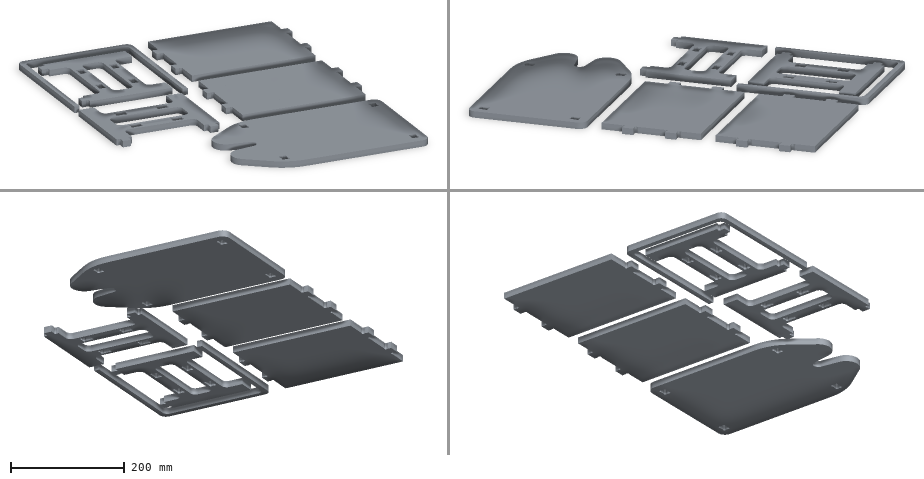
import cadquery as cq
import math

SHEET = 12.0
LAYOUT_WIDTH = 650.0
LAYOUT_TOP = 504.47

RELIEF_RADIUS = 3.0
RELIEF_OFFSET = RELIEF_RADIUS / math.sqrt(2)
PANEL_TAB_WIDTH = 20.0
PANEL_TAB_PITCH = 80.0
LEG_TAB_WIDTH = 16.0

PANEL_WIDTH = 185.0
PANEL_LENGTH = 240.0
PANEL_CENTRE_Y = LAYOUT_TOP - SHEET - PANEL_LENGTH / 2
PANEL_CENTRES_X = (97.5, 310.0)

FRAME_WIDTH = 200.0
LEG_WIDTH = 30.0
LEG_LENGTH = 160.0
LEG_PITCH = FRAME_WIDTH - LEG_WIDTH
CROSSBAR_WIDTH = 24.0
CROSSBAR_PITCH = 64.0
FRAME_FILLET = 10.0
UPRIGHT_FRAME_CENTRE = (130.0, 116.0)
TURNED_FRAME_CENTRE = (340.0, FRAME_WIDTH / 2)

BRACKET_LENGTH = 243.0
BRACKET_WIDTH = 220.0
BRACKET_BAND = 10.0
BRACKET_OUTER_RADIUS = 12.0
BRACKET_INNER_RADIUS = 10.0

PLATE_WIDTH = 220.0
PLATE_LENGTH = 354.0
PLATE_CENTRE_X = LAYOUT_WIDTH - PLATE_WIDTH / 2
PLATE_CORNER_RADIUS = 15.0
PLATE_SIDE_LENGTH = 243.0
SHOULDER_RADIUS = 100.0
LOBE_RADIUS = 25.0
LOBE_OFFSET = 40.0
NOTCH_RADIUS = 10.0
NOTCH_TOP_DEPTH = 288.5
PLATE_SLOT_EDGE = 15.0
PLATE_SLOT_PITCH = PANEL_LENGTH + SHEET


def block(width, length, centre):
    """Full-thickness rectangle centred on the given point."""
    return cq.Workplane("XY").center(*centre).rect(width, length).extrude(SHEET)


def reliefs(centres):
    """Full-thickness relief cylinders at the given points."""
    return cq.Workplane("XY").pushPoints(centres).circle(RELIEF_RADIUS).extrude(SHEET)


def slot(width, length, centre):
    """Rectangular slot with a relief in each corner."""
    x, y = centre
    half_width = width / 2 - RELIEF_OFFSET
    half_length = length / 2 - RELIEF_OFFSET
    corners = [(x + i * half_width, y + j * half_length) for i in (-1, 1) for j in (-1, 1)]
    return block(width, length, centre).union(reliefs(corners))


def add_tab(body, width, root, direction):
    """Tab along Y from the middle of its root edge, relieved at both inner corners."""
    x, y = root
    tab = block(width, SHEET, (x, y + direction * SHEET / 2))
    side = width / 2 + RELIEF_OFFSET
    corners = [(x + i * side, y + direction * RELIEF_OFFSET) for i in (-1, 1)]
    return body.union(tab).cut(reliefs(corners))


def make_panel(centre_x):
    """Rectangular panel with two tabs on each short edge."""
    panel = block(PANEL_WIDTH, PANEL_LENGTH, (centre_x, PANEL_CENTRE_Y))
    for direction in (-1, 1):
        edge_y = PANEL_CENTRE_Y + direction * PANEL_LENGTH / 2
        for side in (-1, 1):
            root = (centre_x + side * PANEL_TAB_PITCH / 2, edge_y)
            panel = add_tab(panel, PANEL_TAB_WIDTH, root, direction)
    return panel


def make_frame():
    """H-shaped frame centred on the origin, with its leg tabs pointing to -Y."""
    window_width = FRAME_WIDTH - 2 * LEG_WIDTH
    window_length = CROSSBAR_PITCH - CROSSBAR_WIDTH
    bay_edge = (CROSSBAR_PITCH + CROSSBAR_WIDTH) / 2
    frame = block(FRAME_WIDTH, LEG_LENGTH, (0, 0))
    frame = frame.cut(block(window_width, window_length, (0, 0)).edges("|Z").fillet(FRAME_FILLET))
    for side in (-1, 1):
        bay = block(window_width, LEG_LENGTH, (0, side * (bay_edge + LEG_LENGTH / 2)))
        frame = frame.cut(bay.edges("|Z").fillet(FRAME_FILLET))
        frame = add_tab(frame, LEG_TAB_WIDTH, (side * LEG_PITCH / 2, -LEG_LENGTH / 2), -1)
    for i in (-1, 1):
        for j in (-1, 1):
            centre = (i * PANEL_TAB_PITCH / 2, j * CROSSBAR_PITCH / 2)
            frame = frame.cut(slot(PANEL_TAB_WIDTH, SHEET, centre))
    return frame


def make_bracket():
    """U-shaped strip, open towards +X, with rounded corners."""
    outer = block(BRACKET_LENGTH, BRACKET_WIDTH, (BRACKET_LENGTH / 2, BRACKET_WIDTH / 2))
    outer = outer.edges("|Z and <X").fillet(BRACKET_OUTER_RADIUS)
    inner_centre = (BRACKET_LENGTH / 2 + BRACKET_BAND, BRACKET_WIDTH / 2)
    inner = block(BRACKET_LENGTH, BRACKET_WIDTH - 2 * BRACKET_BAND, inner_centre)
    inner = inner.edges("|Z and <X").fillet(BRACKET_INNER_RADIUS)
    return outer.cut(inner)


def on_circle(centre, radius, angle):
    """Point on a circle at the given angle."""
    return (centre[0] + radius * math.cos(angle), centre[1] + radius * math.sin(angle))


def plate_outline():
    """Closed plate outline, centred on X = 0 with its top edge at Y = 0.

    The right half is worked out from tangent circles and mirrored.
    """
    shoulder = (PLATE_WIDTH / 2 - SHOULDER_RADIUS, -PLATE_SIDE_LENGTH)
    lobe = (LOBE_OFFSET, LOBE_RADIUS - PLATE_LENGTH)
    notch = (0.0, -NOTCH_TOP_DEPTH - NOTCH_RADIUS)

    flank_x, flank_y = lobe[0] - shoulder[0], lobe[1] - shoulder[1]
    flank_ratio = (SHOULDER_RADIUS - LOBE_RADIUS) / math.hypot(flank_x, flank_y)
    flank_normal = math.atan2(flank_y, flank_x) + math.acos(flank_ratio)

    side_x, side_y = notch[0] - lobe[0], notch[1] - lobe[1]
    side_ratio = (LOBE_RADIUS + NOTCH_RADIUS) / math.hypot(side_x, side_y)
    side_normal = math.atan2(side_y, side_x) + math.acos(side_ratio)

    shoulder_start = on_circle(shoulder, SHOULDER_RADIUS, 0)
    shoulder_middle = on_circle(shoulder, SHOULDER_RADIUS, flank_normal / 2)
    shoulder_end = on_circle(shoulder, SHOULDER_RADIUS, flank_normal)
    lobe_start = on_circle(lobe, LOBE_RADIUS, flank_normal)
    lobe_bottom = on_circle(lobe, LOBE_RADIUS, -math.pi / 2)
    lobe_end = on_circle(lobe, LOBE_RADIUS, side_normal)
    notch_start = on_circle(notch, NOTCH_RADIUS, side_normal - math.pi)
    notch_top = on_circle(notch, NOTCH_RADIUS, math.pi / 2)

    def mirrored(point):
        return (-point[0], point[1])

    return (
        cq.Workplane("XY")
        .moveTo(PLATE_WIDTH / 2, 0)
        .lineTo(*shoulder_start)
        .threePointArc(shoulder_middle, shoulder_end)
        .lineTo(*lobe_start)
        .threePointArc(lobe_bottom, lobe_end)
        .lineTo(*notch_start)
        .threePointArc(notch_top, mirrored(notch_start))
        .lineTo(*mirrored(lobe_end))
        .threePointArc(mirrored(lobe_bottom), mirrored(lobe_start))
        .lineTo(*mirrored(shoulder_end))
        .threePointArc(mirrored(shoulder_middle), mirrored(shoulder_start))
        .lineTo(-PLATE_WIDTH / 2, 0)
        .close()
    )


def make_plate():
    """Base plate with four slots for the leg tabs."""
    plate = plate_outline().extrude(SHEET)
    plate = plate.edges("|Z and >Y").fillet(PLATE_CORNER_RADIUS)
    upper_slot_y = -PLATE_SLOT_EDGE - SHEET / 2
    for side in (-1, 1):
        for slot_y in (upper_slot_y, upper_slot_y - PLATE_SLOT_PITCH):
            plate = plate.cut(slot(LEG_TAB_WIDTH, SHEET, (side * LEG_PITCH / 2, slot_y)))
    return plate.translate((PLATE_CENTRE_X, LAYOUT_TOP, 0))


panels = [make_panel(centre_x) for centre_x in PANEL_CENTRES_X]
upright_frame = make_frame().translate((*UPRIGHT_FRAME_CENTRE, 0))
turned_frame = make_frame().rotate((0, 0, 0), (0, 0, 1), 90).translate((*TURNED_FRAME_CENTRE, 0))
bracket = make_bracket()
plate = make_plate()

result = cq.Compound.makeCompound(
    [
        *[panel.val() for panel in panels],
        upright_frame.val(),
        turned_frame.val(),
        bracket.val(),
        plate.val(),
    ]
)